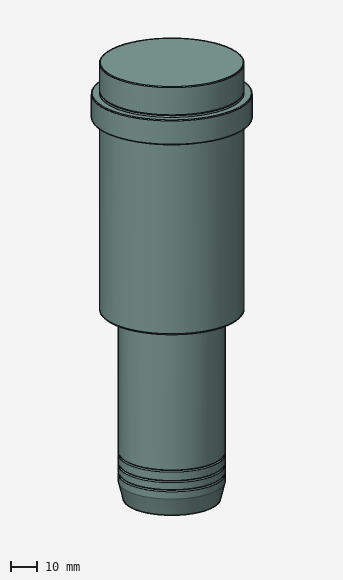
import cadquery as cq

total_height = 173.0
body_radius = 27.0
flange_radius = 30.02
shaft_radius = 19.98
tip_radius = 18.2

tip_taper_height = 7.3
body_bottom = 74.5
flange_bottom = 151.0
flange_thickness = 9.9
flange_top = flange_bottom + flange_thickness

body_chamfer = 0.7
small_chamfer = 0.3
relief_width = 1.0
relief_depth = 0.3
ring_groove_width = 0.9
ring_groove_depth = 0.5
ring_groove_heights = [10.5, 14.2, 18.3]


def cylinder(radius, bottom, top):
    """Vertical cylinder on the Z axis between two heights."""
    return cq.Workplane("XY").workplane(offset=bottom).circle(radius).extrude(top - bottom)


def groove_cutter(radius, depth, bottom, width):
    """Triangular ring that cuts a V groove into a cylinder of the given radius."""
    profile = cq.Workplane("XZ").polyline([
        (radius, bottom),
        (radius - depth, bottom + width / 2),
        (radius, bottom + width),
    ])
    return profile.close().revolve(360, (0, 0, 0), (0, 1, 0))


shaft = (
    cq.Workplane("XZ")
    .polyline([
        (0, 0),
        (tip_radius, 0),
        (shaft_radius, tip_taper_height),
        (shaft_radius, body_bottom),
        (0, body_bottom),
    ])
    .close()
    .revolve(360, (0, 0, 0), (0, 1, 0))
    .faces("<Z")
    .chamfer(small_chamfer)
)
for groove_middle in ring_groove_heights:
    groove_bottom = groove_middle - ring_groove_width / 2
    shaft = shaft.cut(groove_cutter(shaft_radius, ring_groove_depth, groove_bottom, ring_groove_width))

body = cylinder(body_radius, body_bottom, total_height)
body = body.faces("<Z").chamfer(body_chamfer).faces(">Z").chamfer(small_chamfer)
for relief_bottom in (flange_bottom - relief_width, flange_top):
    body = body.cut(groove_cutter(body_radius, relief_depth, relief_bottom, relief_width))

flange = cylinder(flange_radius, flange_bottom, flange_top).faces("<Z or >Z").chamfer(small_chamfer)

result = shaft.union(body).union(flange)